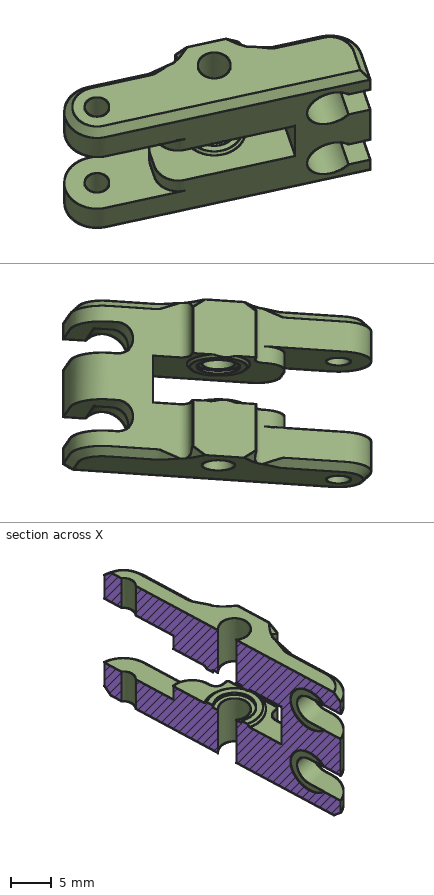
import cadquery as cq
import math


bar_width = 8.0
half_width = bar_width / 2
height = 20.0
half_height = height / 2
back_y = 18.0
tip_y = -19.5
tip_centre_y = tip_y + half_width

boss_face_x = -6.0
boss_half_length = 4.0
boss_corner_fillet = 0.1
boss_root_fillet = 1.2

rim_bevel = 1.0
flare_angle = math.radians(22.5)
flare_start_y = 7.74
flare_start_fillet = 0.6
flare_end_fillet = 2.4
flare_boss_y = 3.86

pad_gap = 6.0
gap_back_y = 8.5
arm_thickness = 4.85
pad_end_y = -8.5
pad_corner_radius = 3.0

pivot_x = -2.4
pivot_diameter = 4.0
ring_base_diameter = 7.7
ring_height = 0.35
ring_recess_diameter = 5.3
ring_flank_angle = 45

tip_hole_diameter = 3.0
slot_width = 4.0
slot_depth = 7.0
slot_offset_z = 5.0

counterbore_diameter = 6.0
counterbore_floor_x = -1.0

overrun = 5.0


def nearest_upright(x, y):
    """Selector for the Z-parallel edge closest to (x, y)."""
    return cq.selectors.NearestToPointSelector((x, y, 0))


def bar_block(side_points):
    """Full-height bar with a round tip and one round back corner.

    side_points are corners that its -X side passes through, from back to tip.
    """
    outline = (
        cq.Workplane("XY")
        .moveTo(half_width, back_y)
        .lineTo(0, back_y)
        .radiusArc((-half_width, back_y - half_width), -half_width)
    )
    for x, y in side_points:
        outline = outline.lineTo(x, y)
    outline = (
        outline.lineTo(-half_width, tip_centre_y)
        .threePointArc((0, tip_y), (half_width, tip_centre_y))
        .close()
    )
    return outline.extrude(half_height, both=True)


def bar_and_boss():
    """Bar with the pivot boss blended into its -X side."""
    bar = bar_block([])
    boss = cq.Workplane("XY").box(-boss_face_x, 2 * boss_half_length, height)
    boss = boss.translate((boss_face_x / 2, 0, 0))
    boss = boss.edges("|Z and <X").fillet(boss_corner_fillet)
    body = bar.union(boss)
    for root_y in (boss_half_length, -boss_half_length):
        root = nearest_upright(-half_width, root_y)
        body = body.edges("|Z").edges(root).fillet(boss_root_fillet)
    return body


def rim_envelope():
    """Beveled block that trims the rims of both flat outer faces."""
    slope = math.tan(flare_angle)
    diagonal_offset = boss_face_x - flare_boss_y
    meet_y = (-half_width - slope * flare_start_y - diagonal_offset) / (1 - slope)
    meet_x = meet_y + diagonal_offset
    flare_points = [
        (-half_width, flare_start_y),
        (meet_x, meet_y),
        (diagonal_offset, 0),
        (meet_x, -meet_y),
        (-half_width, -flare_start_y),
    ]
    block = bar_block(flare_points)
    for side in (1, -1):
        flare_start = nearest_upright(-half_width, side * flare_start_y)
        block = block.edges("|Z").edges(flare_start).fillet(flare_start_fillet)
        flare_end = nearest_upright(meet_x, side * meet_y)
        block = block.edges("|Z").edges(flare_end).fillet(flare_end_fillet)
    return block.faces("|Z").chamfer(rim_bevel)


def arm_gap():
    """Space between the arms, wider beyond the rounded ends of the pads."""
    width = 2 * (half_width - boss_face_x)
    narrow_length = gap_back_y - tip_y + overrun
    narrow = cq.Workplane("XY").box(width, narrow_length, pad_gap)
    narrow = narrow.translate((0, gap_back_y - narrow_length / 2, 0))

    pad_length = gap_back_y - pad_end_y
    pad = cq.Workplane("XY").box(bar_width, pad_length, height)
    pad = pad.translate((0, pad_end_y + pad_length / 2, 0))
    pad = pad.edges("|Z and <Y").fillet(pad_corner_radius)

    wide_start_y = pad_end_y + pad_corner_radius
    wide_length = wide_start_y - tip_y + overrun
    wide = cq.Workplane("XY").box(width, wide_length, height - 2 * arm_thickness)
    wide = wide.translate((0, wide_start_y - wide_length / 2, 0))
    return narrow.union(wide.cut(pad))


def bearing_ring():
    """Low conical ring with a recessed middle, standing on the lower pad."""
    base_z = -pad_gap / 2
    ring = (
        cq.Workplane("XY", origin=(pivot_x, 0, base_z))
        .circle(ring_base_diameter / 2)
        .extrude(ring_height, taper=ring_flank_angle)
        .faces(">Z")
        .workplane()
        .hole(ring_recess_diameter, ring_height)
    )
    trim_depth = boss_face_x - (pivot_x - ring_base_diameter / 2)
    trim = cq.Workplane("XY").box(2 * trim_depth, ring_base_diameter, height)
    return ring.cut(trim.translate((boss_face_x - trim_depth, 0, 0)))


def upright_hole(x, y, diameter):
    """Cutter for a hole along Z through the whole part."""
    return cq.Workplane("XY").center(x, y).circle(diameter / 2).extrude(half_height, both=True)


def back_slot(centre_z):
    """Cutter for a slot along X that enters from the back with a round end."""
    end_y = back_y - slot_depth
    centre_y = (end_y + back_y + overrun) / 2
    length = back_y + overrun - end_y
    return (
        cq.Workplane("YZ")
        .center(centre_y, centre_z)
        .slot2D(length, slot_width)
        .extrude(bar_width, both=True)
    )


def slot_counterbore(centre_z):
    """Cutter for the round recess in the +X face, centred on a slot's round end."""
    centre_y = back_y - slot_depth + slot_width / 2
    return (
        cq.Workplane("YZ", origin=(counterbore_floor_x, centre_y, centre_z))
        .circle(counterbore_diameter / 2)
        .extrude(half_width - counterbore_floor_x)
    )


part = bar_and_boss().intersect(rim_envelope()).cut(arm_gap())

for slot_z in (slot_offset_z, -slot_offset_z):
    part = part.cut(back_slot(slot_z)).cut(slot_counterbore(slot_z))

lower_ring = bearing_ring()
part = part.union(lower_ring).union(lower_ring.mirror("XY"))

part = part.cut(upright_hole(pivot_x, 0, pivot_diameter))
part = part.cut(upright_hole(0, tip_centre_y, tip_hole_diameter))

result = part